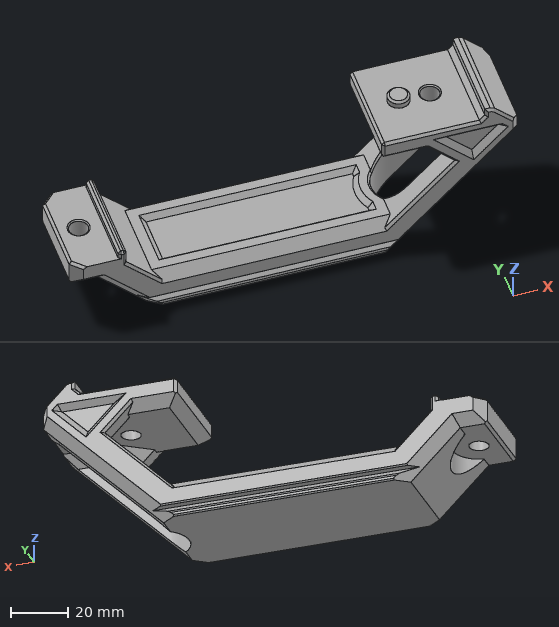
import cadquery as cq
import math

length = 164.7
width = 38.0
height = 60.0
half_width = width / 2
sides = (-half_width, half_width)

large_bevel = 4.0
small_bevel = 1.0

beam_run = 17.0
left_foot = 28.3
right_foot = 120.0

base_top = 15.0
recess_start = 34.3
recess_end = 114.1
recess_width = 22.7
recess_depth = 2.0
rail_top = 5.0
rail_depth = 3.0
rail_edge = 0.5

pad_top = 28.3
pad_thickness = 10.0
pad_bottom = pad_top - pad_thickness
pad_hole_x = 8.4
stop_start = 17.0
stop_width = 3.0
stop_end = stop_start + stop_width
stop_height = 3.0

platform_start = 114.0
platform_top = 55.0
platform_thickness = 9.9
platform_bottom = platform_top - platform_thickness
platform_hole_x = 137.5
peg_x = 126.0
peg_diameter = 8.0
peg_height = 3.0
peg_bevel = 0.8
hook_start = 151.8
hook_width = 3.0
hook_end = hook_start + hook_width
hook_rise = 2.0
end_bevel_x = 2.8
hole_diameter = 7.0
hole_bevel = 0.5

strut_line = 178.5
right_inner = right_foot - beam_run
left_inner = left_foot + beam_run
strut_foot_x = (strut_line + right_inner) / 2
strut_foot_z = (strut_line - right_inner) / 2
upper_line = hook_end + height

access_radius = 10.0
opening_bevel = 0.8
strut_opening = 13.0
rim_radius = access_radius + large_bevel

pocket_depth = 2.1
pocket_top = 51.5
pocket_strut_line = 184.3
pocket_beam_line = 110.7
pocket_corner_line = 209.6


def prism_y(points, depth):
    """Extrude an XZ outline symmetrically about Y = 0."""
    return cq.Workplane("XZ").polyline(points).close().extrude(depth / 2, both=True)


def prism_x(points, start, end):
    """Extrude a YZ outline from X = start to X = end."""
    return cq.Workplane("YZ", origin=(start, 0, 0)).polyline(points).close().extrude(end - start)


def bevel(body, positions, size):
    """Bevel together the edges nearest to the given positions."""
    edges = [body.edges(cq.selectors.NearestToPointSelector(position)).val() for position in positions]
    return body.newObject(edges).chamfer(size)


def between(first, second, y):
    """Middle of an outline segment, placed at the given Y."""
    return ((first[0] + second[0]) / 2, y, (first[1] + second[1]) / 2)


def upright(x, diameter, bottom, top):
    """Vertical cylinder centred on Y = 0."""
    return cq.Workplane("XY", origin=(x, 0, bottom)).circle(diameter / 2).extrude(top - bottom)


def crossing(falling_line, rising_line):
    """Point where X + Z = falling_line meets X - Z = rising_line."""
    return ((falling_line + rising_line) / 2, (falling_line - rising_line) / 2)


pad_low = (0, pad_bottom)
pad_high = (0, pad_top)
stop_root = (stop_start, pad_top)
stop_left = (stop_start, pad_top + stop_height)
stop_right = (stop_end, pad_top + stop_height)
stop_foot = (stop_end, left_inner - stop_end)
base_left = (left_inner - base_top, base_top)
base_right = (right_inner + base_top, base_top)
strut_foot = (strut_foot_x, strut_foot_z)
strut_head = (strut_line - platform_bottom, platform_bottom)
platform_low = (platform_start, platform_bottom)
platform_high = (platform_start, platform_top)
hook_root = (hook_start - hook_rise, platform_top)
hook_low = (hook_start, platform_top + hook_rise)
hook_left = (hook_start, height)
hook_right = (hook_end, height)
end_high = (length, upper_line - length)
end_low = (length, length - right_foot)
right_corner = (right_foot, 0)
left_corner = (left_foot, 0)
pad_foot = (left_foot - pad_bottom, pad_bottom)
outline = [
    pad_low, pad_high, stop_root, stop_left, stop_right, stop_foot, base_left, base_right,
    strut_foot, strut_head, platform_low, platform_high, hook_root, hook_low, hook_left,
    hook_right, end_high, end_low, right_corner, left_corner, pad_foot,
]
body = prism_y(outline, width)

body = bevel(body, [(platform_start, 0, platform_bottom)], large_bevel)
for side in sides:
    body = bevel(body, [between(platform_low, strut_head, side)], large_bevel)
    body = bevel(body, [between(base_left, base_right, side)], large_bevel)
    pad_edges = [
        between(pad_low, pad_high, side),
        between(pad_low, pad_foot, side),
        between(pad_foot, left_corner, side),
    ]
    body = bevel(body, pad_edges, large_bevel)
    body = bevel(body, [between(right_corner, end_low, side)], large_bevel)

    inner_y = side - math.copysign(large_bevel, side)
    corner = [(length - end_bevel_x, side), (length, side), (length, inner_y)]
    body = body.cut(cq.Workplane("XY").polyline(corner).close().extrude(height))

small_edges = [
    (0, 0, pad_top),
    (stop_start, 0, stop_left[1]),
    (stop_end, 0, stop_left[1]),
    (platform_start, 0, platform_top),
    (hook_end, 0, height),
]
front_face_middle = (platform_top + platform_bottom + large_bevel) / 2
left_chain = [stop_root, stop_left, stop_right, stop_foot, base_left]
right_chain = [platform_high, hook_root, hook_low, hook_left, hook_right, end_high]
inner_chain = [base_right, strut_foot, strut_head]
for side in sides:
    pad_corner_y = side - math.copysign(large_bevel / 2, side)
    small_edges.append((large_bevel / 2, pad_corner_y, pad_top))
    small_edges.append((platform_start, side, front_face_middle))
    for chain in (left_chain, right_chain, inner_chain):
        small_edges += [between(start, end, side) for start, end in zip(chain, chain[1:])]
body = bevel(body, small_edges, small_bevel)
body = bevel(body, [(0, 0, pad_bottom)], small_bevel)

for side in sides:
    groove_y = side - math.copysign(rail_depth, side)
    groove = [(side, rail_top), (groove_y, rail_top), (side, rail_top - rail_depth)]
    body = body.cut(prism_x(groove, 0, length))
    middle_x = (left_foot + right_foot) / 2
    rail_edges = [(middle_x, side, z) for z in (0, rail_top - rail_depth, rail_top)]
    body = bevel(body, rail_edges, rail_edge)

recess = (
    cq.Workplane("XY", origin=((recess_start + recess_end) / 2, 0, base_top))
    .rect(recess_end - recess_start, recess_width)
    .extrude(-recess_depth, taper=45)
)
rim = cq.Workplane(
    cq.Solid.makeCone(
        rim_radius + recess_depth, rim_radius, recess_depth, cq.Vector(peg_x, 0, base_top - recess_depth)
    )
)
body = body.cut(recess.cut(rim))

strut_plane = cq.Plane(origin=(strut_foot_x, 0, strut_foot_z), xDir=(0, 1, 0), normal=(-1, 0, 1))
flare = (
    cq.Workplane(strut_plane)
    .polyline([(-strut_opening, 0), (strut_opening, 0), (0, -strut_opening)])
    .close()
    .extrude(height)
)
beam_head = (platform_bottom + right_inner, platform_bottom)
body = body.cut(flare.intersect(prism_y([strut_foot, strut_head, beam_head], width)))

gable_rise = platform_bottom - strut_foot_z
roof_half_width = strut_opening - gable_rise
eave = strut_foot_z + strut_opening - access_radius
slot_section = [
    (-access_radius, 0),
    (access_radius, 0),
    (access_radius, eave),
    (roof_half_width, platform_bottom),
    (-roof_half_width, platform_bottom),
    (-access_radius, eave),
]
slot = prism_x(slot_section, peg_x, length).union(upright(peg_x, 2 * access_radius, 0, eave))
body = body.cut(slot)

slot_side_x = (peg_x + strut_foot_x) / 2
slot_edges = [(slot_side_x, side, slot_side_x - right_inner) for side in (-access_radius, access_radius)]
slot_edges.append((peg_x - access_radius, 0, base_top))
body = bevel(body, slot_edges, opening_bevel)

body = body.cut(upright(pad_hole_x, 2 * access_radius, 0, pad_bottom))
for hole_x, bottom, top in (
    (pad_hole_x, pad_bottom, pad_top),
    (platform_hole_x, platform_bottom, platform_top),
):
    body = body.cut(upright(hole_x, hole_diameter, bottom, top))
    body = bevel(body, [(hole_x - hole_diameter / 2, 0, top)], hole_bevel)
peg = upright(peg_x, peg_diameter, platform_top, platform_top + peg_height)
body = body.union(peg.faces(">Z").chamfer(peg_bevel))

pocket = [
    (pocket_strut_line - pocket_top, pocket_top),
    (pocket_corner_line - pocket_top, pocket_top),
    crossing(pocket_corner_line, pocket_beam_line),
    crossing(pocket_strut_line, pocket_beam_line),
]
tool = (
    cq.Workplane("XZ", origin=(0, -half_width, 0))
    .polyline(pocket)
    .close()
    .extrude(-pocket_depth, taper=45)
)
body = body.cut(tool).cut(tool.mirror("XZ"))

result = body